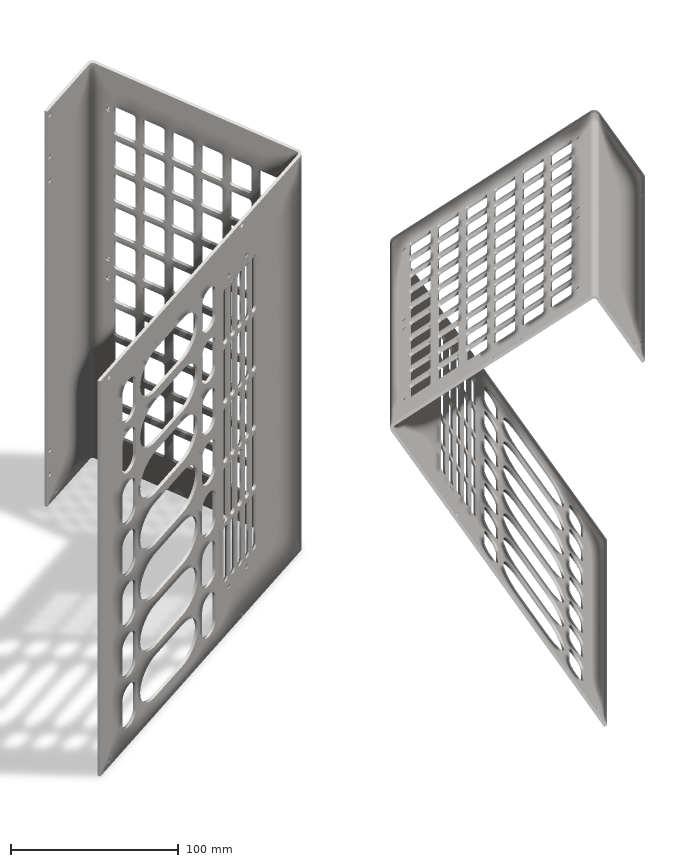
import cadquery as cq

WIDTH = 150.0
DEPTH = 230.0
HEIGHT = 330.0
SHEET = 2.0
FLANGE_DEPTH = 52.0
BEND_OUTER = 4.0
BEND_INNER = BEND_OUTER - SHEET

SCREW_DIAMETER = 3.2
EDGE_INSET = 3.0
CORNER_INSET = 5.0

WINDOW_COLUMNS = 6
WINDOW_ROWS = 10
WINDOW_WEB = 5.0
GRID_WIDTH = 117.0
WINDOW_WIDTH = (GRID_WIDTH - (WINDOW_COLUMNS - 1) * WINDOW_WEB) / WINDOW_COLUMNS
WINDOW_HEIGHT = 23.0
WINDOW_RADIUS = 2.0
GRID_CENTER_X = 76.0
GRID_CENTER_Z = 163.25
FAN_SCREW_PITCH = 125.0
FAN_CENTER_PITCH = 141.0
BASE_SCREWS_X = (55.0, 75.0)

OPENING_ROWS = 7
OPENING_WEB_Y = 5.0
OPENING_WEB_Z = 8.0
OPENINGS_TOTAL_HEIGHT = 290.0
OPENING_PITCH = (OPENINGS_TOTAL_HEIGHT + OPENING_WEB_Z) / OPENING_ROWS
OPENING_HEIGHT = OPENING_PITCH - OPENING_WEB_Z
NARROW_OPENING = 15.0
WIDE_OPENING = 65.0
OPENING_WIDTHS = (NARROW_OPENING, WIDE_OPENING, NARROW_OPENING)
OPENINGS_START = 100.0
OPENINGS_CENTER_Z = 160.0

SLOT_COLUMNS = 5
SLOT_ROWS = 5
SLOT_WIDTH = 5.0
SLOT_WEB = 3.0
SLOTS_TOTAL_HEIGHT = 245.0
SLOT_PITCH_Y = SLOT_WIDTH + SLOT_WEB
SLOT_PITCH_Z = (SLOTS_TOTAL_HEIGHT + SLOT_WEB) / SLOT_ROWS
SLOT_HEIGHT = SLOT_PITCH_Z - SLOT_WEB
SLOTS_CENTER_DEPTH = 72.5
SLOTS_CENTER_Z = 167.75
VENT_SCREW_DEPTHS = (65.0, 85.0)
VENT_SCREW_PITCH_Z = 260.0

REAR_SCREW_DEPTH = 70.0
FRONT_SCREW_INSET = 10.0
FRONT_SCREW_DEPTH = DEPTH - FRONT_SCREW_INSET

FLANGE_SCREW_DEPTH = FLANGE_DEPTH - EDGE_INSET
FLANGE_SCREWS_Z = (25.0, 45.0, 270.0, 290.0, HEIGHT - CORNER_INSET)
FLANGE_BASE_SCREW_DEPTH = 42.0


def spaced(center, pitch, count):
    """Evenly spaced coordinates, symmetric about a center."""
    return [center + (i - (count - 1) / 2) * pitch for i in range(count)]


def folded_sheet():
    """U-shaped sheet with one long and one short leg and rounded bends."""
    outline = [
        (0, 0),
        (WIDTH, 0),
        (WIDTH, -DEPTH),
        (WIDTH - SHEET, -DEPTH),
        (WIDTH - SHEET, -SHEET),
        (SHEET, -SHEET),
        (SHEET, -FLANGE_DEPTH),
        (0, -FLANGE_DEPTH),
    ]
    sheet = cq.Workplane("XY").polyline(outline).close().extrude(HEIGHT)
    outer = [(0, 0), (WIDTH, 0)]
    inner = [(SHEET, -SHEET), (WIDTH - SHEET, -SHEET)]
    for corners, radius in ((outer, BEND_OUTER), (inner, BEND_INNER)):
        for x, y in corners:
            edge = cq.selectors.NearestToPointSelector((x, y, HEIGHT / 2))
            sheet = sheet.edges("|Z").edges(edge).fillet(radius)
    return sheet


def back_plane(points):
    """Workplane on the inside of the back panel, with its normal along -Y."""
    plane = cq.Plane(origin=(0, -SHEET, 0), xDir=(1, 0, 0), normal=(0, -1, 0))
    return cq.Workplane(plane).pushPoints(points)


def leg_plane(x, points):
    """Workplane facing +X at x; points are (depth from the back face, z)."""
    local = [(-depth, z) for depth, z in points]
    return cq.Workplane("YZ", origin=(x, 0, 0)).pushPoints(local)


def back_windows():
    columns = spaced(GRID_CENTER_X, WINDOW_WIDTH + WINDOW_WEB, WINDOW_COLUMNS)
    rows = spaced(GRID_CENTER_Z, WINDOW_HEIGHT + WINDOW_WEB, WINDOW_ROWS)
    points = [(x, z) for x in columns for z in rows]
    windows = back_plane(points).rect(WINDOW_WIDTH, WINDOW_HEIGHT).extrude(-SHEET)
    return windows.edges("|Y").fillet(WINDOW_RADIUS)


def back_screws():
    points = [(x, EDGE_INSET) for x in BASE_SCREWS_X]
    for fan_z in spaced(GRID_CENTER_Z, FAN_CENTER_PITCH, 2):
        for z in spaced(fan_z, FAN_SCREW_PITCH, 2):
            points += [(x, z) for x in spaced(GRID_CENTER_X, FAN_SCREW_PITCH, 2)]
    return back_plane(points).circle(SCREW_DIAMETER / 2).extrude(-SHEET)


def obround(x, points, width, height):
    """Openings with fully rounded ends through the leg that starts at x."""
    length = max(width, height)
    angle = 90 if height > width else 0
    return leg_plane(x, points).slot2D(length, min(width, height), angle).extrude(SHEET)


def side_openings(sheet):
    rows = spaced(OPENINGS_CENTER_Z, OPENING_PITCH, OPENING_ROWS)
    start = OPENINGS_START
    for width in OPENING_WIDTHS:
        points = [(start + width / 2, z) for z in rows]
        sheet = sheet.cut(obround(WIDTH - SHEET, points, width, OPENING_HEIGHT))
        start += width + OPENING_WEB_Y
    return sheet


def side_vents():
    columns = spaced(SLOTS_CENTER_DEPTH, SLOT_PITCH_Y, SLOT_COLUMNS)
    rows = spaced(SLOTS_CENTER_Z, SLOT_PITCH_Z, SLOT_ROWS)
    points = [(depth, z) for depth in columns for z in rows]
    return obround(WIDTH - SHEET, points, SLOT_WIDTH, SLOT_HEIGHT)


def leg_screws(x, points):
    return leg_plane(x, points).circle(SCREW_DIAMETER / 2).extrude(SHEET)


def side_screws():
    vent_rows = spaced(SLOTS_CENTER_Z, VENT_SCREW_PITCH_Z, 2)
    points = [(depth, z) for depth in VENT_SCREW_DEPTHS for z in vent_rows]
    for depth, inset in ((REAR_SCREW_DEPTH, EDGE_INSET), (FRONT_SCREW_DEPTH, CORNER_INSET)):
        points += [(depth, inset), (depth, HEIGHT - inset)]
    return leg_screws(WIDTH - SHEET, points)


def flange_screws():
    points = [(FLANGE_SCREW_DEPTH, z) for z in FLANGE_SCREWS_Z]
    points.append((FLANGE_BASE_SCREW_DEPTH, CORNER_INSET))
    return leg_screws(0, points)


result = folded_sheet().cut(back_windows()).cut(back_screws())
result = side_openings(result).cut(side_vents()).cut(side_screws())
result = result.cut(flange_screws())